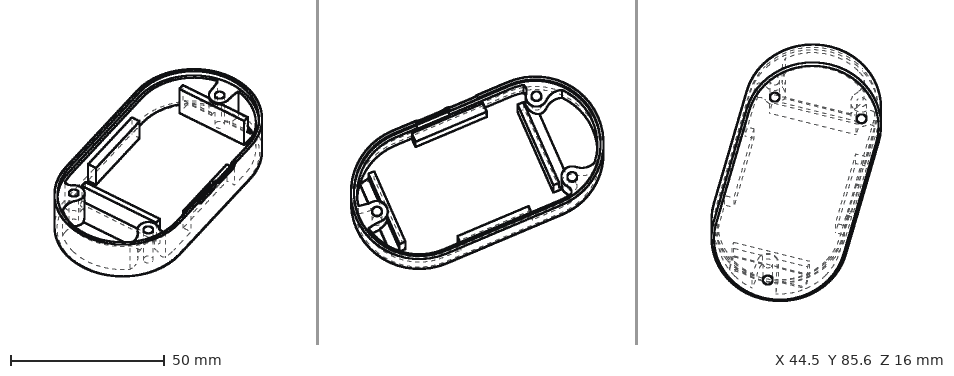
import cadquery as cq
import math

LENGTH = 85.6
WIDTH = 44.5
HEIGHT = 16.0
WALL = 2.05
FLOOR = 2.0
LIP_WALL = 1.0
LIP_DEPTH = 2.0
BOTTOM_CHAMFER = 0.85
LEDGE_Z = HEIGHT - LIP_DEPTH
CAVITY_HALF_WIDTH = WIDTH / 2 - WALL

SCREW_HOLE_DIAMETER = 3.2
BOSS_RADIUS = 3.5
TOP_BOSS_Y = 35.5
TOP_BOSS_FLARE_RADIUS = 20.55
LOWER_BOSS_X = 14.6
LOWER_BOSS_Y = -27.3
SIDE_BLEND_RADIUS = 2.3
SIDE_BLEND_X = 18.5
END_BLEND_RADIUS = 6.0
END_BLEND_X = 7.6

RIB_THICKNESS = 2.05
CROSS_RIB_HEIGHT = 11.4
RIB_FOOT = 4.2
TOP_RIB_INNER_Y = 31.0
TOP_RIB_LENGTH = 25.5
TOP_FOOT_END_Y = 36.0
LOWER_RIB_INNER_Y = -20.6
LOWER_RIB_LENGTH = 2 * LOWER_BOSS_X

RAIL_TOP_Y = 14.5
RAIL_BOTTOM_Y = -10.8
RAIL_INNER_X = 17.1
RAIL_HEIGHT = 8.0

NOTCH_WIDTH = 9.9
NOTCH_DEPTH = 1.5
NOTCH_CENTERS_Y = (6.7, -4.45)
RECESS_TOP_Y = 12.4
RECESS_BOTTOM_Y = 1.0
RECESS_OUTER_X = 21.5
RECESS_DEPTH = 1.0


def stadium(inset, bottom, top):
    """Solid stadium, inset from the outer outline, between two heights."""
    return (
        cq.Workplane("XY", origin=(0, 0, bottom))
        .slot2D(LENGTH - 2 * inset, WIDTH - 2 * inset, 90)
        .extrude(top - bottom)
    )


def box(x_min, x_max, y_min, y_max, z_min, z_max):
    """Axis-aligned block between opposite corners."""
    size = (x_max - x_min, y_max - y_min, z_max - z_min)
    return cq.Workplane("XY", origin=(x_min, y_min, z_min)).box(*size, centered=False)


def polar(center, radius, angle):
    """Point on a circle, with the angle in radians."""
    return (center[0] + radius * math.cos(angle), center[1] + radius * math.sin(angle))


def tray():
    """Chamfered shell with a stepped rim."""
    body = stadium(0, 0, HEIGHT).faces("<Z").edges().chamfer(BOTTOM_CHAMFER)
    body = body.cut(stadium(WALL, FLOOR, HEIGHT))
    return body.cut(stadium(LIP_WALL, LEDGE_Z, HEIGHT))


def top_boss():
    """Round boss whose sides flare gently towards the +Y wall."""
    rise = LENGTH / 2 - TOP_BOSS_Y

    def flare_x(distance):
        offset = math.sqrt(TOP_BOSS_FLARE_RADIUS**2 - distance**2)
        return BOSS_RADIUS + TOP_BOSS_FLARE_RADIUS - offset

    end_x = flare_x(rise)
    middle = (flare_x(rise / 2), TOP_BOSS_Y + rise / 2)
    return (
        cq.Workplane("XY", origin=(0, 0, FLOOR))
        .moveTo(-end_x, LENGTH / 2)
        .threePointArc((-middle[0], middle[1]), (-BOSS_RADIUS, TOP_BOSS_Y))
        .threePointArc((0, TOP_BOSS_Y - BOSS_RADIUS), (BOSS_RADIUS, TOP_BOSS_Y))
        .threePointArc(middle, (end_x, LENGTH / 2))
        .close()
        .extrude(LEDGE_Z - FLOOR)
    )


def lower_boss():
    """Corner boss on the -X side, blended into the wall by two tangent arcs."""
    center = (-LOWER_BOSS_X, LOWER_BOSS_Y)
    side_dx = LOWER_BOSS_X - SIDE_BLEND_X
    side_dy = math.sqrt((BOSS_RADIUS + SIDE_BLEND_RADIUS) ** 2 - side_dx**2)
    side_center = (-SIDE_BLEND_X, LOWER_BOSS_Y + side_dy)
    side_angle = math.atan2(side_dy, side_dx)
    end_dx = LOWER_BOSS_X - END_BLEND_X
    end_dy = -math.sqrt((BOSS_RADIUS + END_BLEND_RADIUS) ** 2 - end_dx**2)
    end_center = (-END_BLEND_X, LOWER_BOSS_Y + end_dy)
    end_angle = math.atan2(end_dy, end_dx)
    return (
        cq.Workplane("XY", origin=(0, 0, FLOOR))
        .moveTo(*polar(side_center, SIDE_BLEND_RADIUS, math.pi))
        .threePointArc(
            polar(side_center, SIDE_BLEND_RADIUS, 1.5 * math.pi),
            polar(center, BOSS_RADIUS, side_angle),
        )
        .threePointArc(
            polar(center, BOSS_RADIUS, (side_angle + end_angle) / 2),
            polar(center, BOSS_RADIUS, end_angle),
        )
        .threePointArc(
            polar(end_center, END_BLEND_RADIUS, math.pi),
            polar(end_center, END_BLEND_RADIUS, 1.25 * math.pi),
        )
        .lineTo(-END_BLEND_X, -LENGTH / 2)
        .lineTo(-WIDTH / 2, -LENGTH / 2)
        .lineTo(-WIDTH / 2, side_center[1])
        .close()
        .extrude(LEDGE_Z - FLOOR)
    )


def cross_rib(inner_y, length, outward):
    """Rib across the tray; outward is the Y sign of its sloped side."""
    outer_y = inner_y + outward * RIB_THICKNESS
    return (
        cq.Workplane("YZ", origin=(-length / 2, 0, 0))
        .moveTo(inner_y, FLOOR)
        .lineTo(inner_y, FLOOR + CROSS_RIB_HEIGHT)
        .lineTo(outer_y, FLOOR + CROSS_RIB_HEIGHT)
        .lineTo(outer_y, FLOOR + RIB_FOOT)
        .lineTo(outer_y + outward * RIB_FOOT, FLOOR)
        .close()
        .extrude(length)
    )


def rim_notch(center_y):
    """Rim opening with quarter-round lower corners, cut through the +X lip."""
    bottom = HEIGHT - NOTCH_DEPTH
    block = box(
        WIDTH / 2 - LIP_WALL,
        WIDTH / 2,
        center_y - NOTCH_WIDTH / 2,
        center_y + NOTCH_WIDTH / 2,
        bottom,
        bottom + 2 * NOTCH_DEPTH,
    )
    return block.faces("<Z").edges("|X").fillet(NOTCH_DEPTH)


cavity = stadium(WALL, FLOOR, LEDGE_Z)
left_boss = lower_boss()
top_rib = cross_rib(TOP_RIB_INNER_Y, TOP_RIB_LENGTH, 1)
top_rib = top_rib.intersect(
    box(-WIDTH / 2, WIDTH / 2, TOP_RIB_INNER_Y, TOP_FOOT_END_Y, 0, HEIGHT)
)
lower_rib = cross_rib(LOWER_RIB_INNER_Y, LOWER_RIB_LENGTH, -1)
right_rail = box(
    RAIL_INNER_X, CAVITY_HALF_WIDTH, RAIL_BOTTOM_Y, RAIL_TOP_Y, FLOOR, FLOOR + RAIL_HEIGHT
)

fittings = top_boss().union(left_boss).union(left_boss.mirror("YZ"))
fittings = fittings.union(top_rib).union(lower_rib)
fittings = fittings.union(right_rail).union(right_rail.mirror("YZ"))
result = tray().union(fittings.intersect(cavity))

screw_points = [
    (0, TOP_BOSS_Y),
    (-LOWER_BOSS_X, LOWER_BOSS_Y),
    (LOWER_BOSS_X, LOWER_BOSS_Y),
]
screw_holes = cq.Workplane("XY").pushPoints(screw_points).circle(SCREW_HOLE_DIAMETER / 2)
result = result.cut(screw_holes.extrude(HEIGHT))

for notch_y in NOTCH_CENTERS_Y:
    result = result.cut(rim_notch(notch_y))
recess = box(
    CAVITY_HALF_WIDTH, RECESS_OUTER_X, RECESS_BOTTOM_Y, RECESS_TOP_Y, LEDGE_Z - RECESS_DEPTH, HEIGHT
)
result = result.cut(recess)